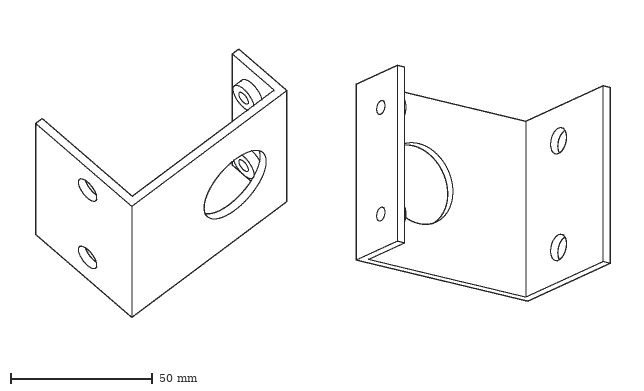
import cadquery as cq

depth = 50.0
width = 75.0
height = 66.0
sheet = 3.2
rear_flange_length = 25.0

row_spacing = 40.0
row_heights = [height / 2 - row_spacing / 2, height / 2 + row_spacing / 2]

access_hole_x = 27.0
access_hole_diameter = 9.5

boss_x = 35.0
boss_diameter = 11.0
boss_height = 3.8
boss_hole_diameter = 5.0
rear_inner_face = width - sheet
boss_face = rear_inner_face - boss_height

opening_diameter = 30.0
opening_from_rear = 25.0


def bent_plate():
    """Channel with a long front flange and a short rear flange, joined by a web at +X."""
    rear_flange_edge = depth - rear_flange_length
    web_inner_face = depth - sheet
    profile = [
        (0, 0),
        (depth, 0),
        (depth, width),
        (rear_flange_edge, width),
        (rear_flange_edge, rear_inner_face),
        (web_inner_face, rear_inner_face),
        (web_inner_face, sheet),
        (0, sheet),
    ]
    return cq.Workplane("XY").polyline(profile).close().extrude(height)


def web_opening():
    """Cutter for the round opening through the web."""
    start = cq.Vector(depth - sheet, width - opening_from_rear, height / 2)
    axis = cq.Vector(1, 0, 0)
    return cq.Workplane(cq.Solid.makeCylinder(opening_diameter / 2, sheet, start, axis))


def cylinder_along_y(x, z, diameter, y_start, y_end):
    """Cylinder parallel to Y, spanning y_start to y_end."""
    start = cq.Vector(x, y_start, z)
    axis = cq.Vector(0, 1, 0)
    return cq.Workplane(cq.Solid.makeCylinder(diameter / 2, y_end - y_start, start, axis))


bracket = bent_plate().cut(web_opening())

for row_z in row_heights:
    access_hole = cylinder_along_y(access_hole_x, row_z, access_hole_diameter, 0, sheet)
    boss = cylinder_along_y(boss_x, row_z, boss_diameter, boss_face, rear_inner_face)
    boss_hole = cylinder_along_y(boss_x, row_z, boss_hole_diameter, boss_face, width)
    bracket = bracket.cut(access_hole).union(boss).cut(boss_hole)

result = bracket.translate((-depth / 2, -width / 2, -height / 2))